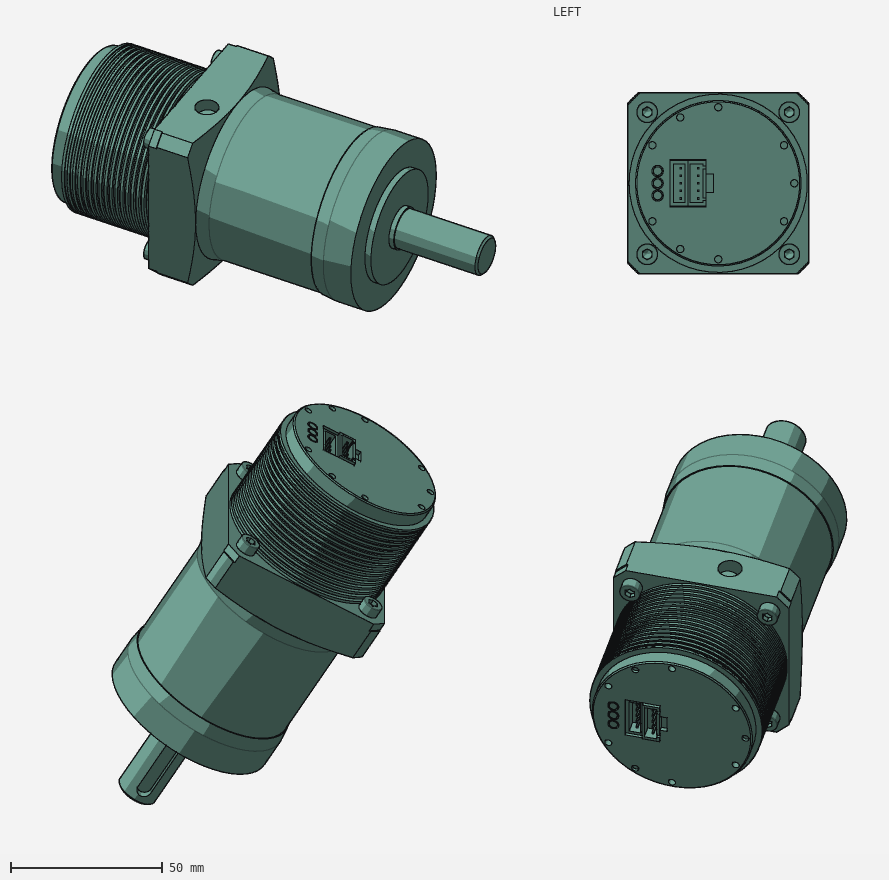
import cadquery as cq
import math


cover_face = 0.7
fins_start = 5.8
flange_start = 38.8
corner_flat_end = 41.8
flange_corner_end = 53.5
neck_start = 56.5
barrel_start = 61.0
barrel_end = 99.5
ring_start = 104.4
ring_end = 114.7
pilot_end = 117.0
collar_end = 118.8
shaft_end = 149.8

cover_diameter = 54.8
cover_edge_chamfer = 0.5
fin_diameter = 59.0
fin_count = 17
first_groove_diameter = 58.3
last_groove_diameter = 56.0
cover_hole_diameter = 2.4
cover_hole_circle_radius = 25.2
deep_hole_depth = 3.0
deep_hole_angles = (0, 60, 120, 180, 240, 300)
shallow_hole_depth = 1.0
shallow_hole_angles = (30, 150, 270)
lamp_outer_diameter = 3.7
lamp_inner_diameter = 2.8
lamp_groove_depth = 1.2
lamp_pitch = 4.0
lamp_y = 20.0

flange_side = 60.0
corner_chamfer = 4.2
flange_turned_diameter = 80.0
barrel_diameter = 58.0
ring_diameter = 59.9
ring_taper_start_diameter = 58.7
pilot_diameter = 40.1
collar_diameter = 15.0
shaft_diameter = 14.0
shaft_chamfer = 0.7
key_width = 5.0
key_length = 25.0
key_depth = 3.0
access_hole_diameter = 8.0
access_hole_x = 48.5
access_hole_y = -7.3
access_floor_radius = 26.0

screw_offset = 23.5
screw_head_diameter = 6.9
screw_head_height = 3.6
screw_head_fillet = 0.1
screw_shank_diameter = 4.0
screw_shank_length = 12.0
socket_width = 3.1
socket_depth = 1.8
socket_cone_depth = 0.9

housing_length = 15.0
right_housing_min_y = 4.0
housing_width = 6.0
housing_back = 7.5
housing_end_clearance = 0.3
cavity_length = 12.9
cavity_depth = 4.5
left_housing_recess = 0.7
left_cavity_min_y = 11.0
left_cavity_width = 3.9
right_cavity_min_y = 5.1
right_cavity_width = 4.2
pin_count = 5
pin_pitch = 2.5
pin_side = 0.6
pin_height = 3.6
left_pin_y = 12.5
right_pin_y = 6.6
wall_slot_width = 0.9
wall_slot_z = 5.2
latch_pocket_min_y = 1.6
latch_pocket_length = 6.0
latch_pocket_depth = 1.5


def cylinder(diameter, x_start, length, y=0.0, z=0.0):
    return cq.Workplane("YZ", origin=(x_start, y, z)).circle(diameter / 2).extrude(length)


def box(x_start, x_end, y_start, y_end, z_start, z_end):
    return cq.Workplane("XY").box(
        x_end - x_start, y_end - y_start, z_end - z_start, centered=False
    ).translate((x_start, y_start, z_start))


def revolve_about_x(points):
    return cq.Workplane("XZ").polyline(points).close().revolve(360, (0, 0, 0), (1, 0, 0))


def make_finned_body():
    pitch = (flange_start - fins_start) / (2 * fin_count - 1)
    body = revolve_about_x([
        (fins_start, 0),
        (fins_start, first_groove_diameter / 2),
        (flange_start, last_groove_diameter / 2),
        (flange_start, 0),
    ])
    for i in range(fin_count):
        body = body.union(cylinder(fin_diameter, fins_start + 2 * i * pitch, pitch))
    return body


def make_cover_holes(angles, depth):
    holes = cq.Workplane("YZ")
    for angle in angles:
        y = cover_hole_circle_radius * math.sin(math.radians(angle))
        z = cover_hole_circle_radius * math.cos(math.radians(angle))
        holes = holes.add(cylinder(cover_hole_diameter, cover_face, depth, y, z))
    return holes.combine()


def make_motor():
    cover = cylinder(cover_diameter, cover_face, fins_start - cover_face)
    cover = cover.faces("<X").chamfer(cover_edge_chamfer)
    motor = make_finned_body().union(cover)
    motor = motor.cut(make_cover_holes(deep_hole_angles, deep_hole_depth))
    motor = motor.cut(make_cover_holes(shallow_hole_angles, shallow_hole_depth))
    for i in (-1, 0, 1):
        groove = cylinder(lamp_outer_diameter, cover_face, lamp_groove_depth, lamp_y, i * lamp_pitch)
        lamp = cylinder(lamp_inner_diameter, cover_face, lamp_groove_depth, lamp_y, i * lamp_pitch)
        motor = motor.cut(groove.cut(lamp))
    return motor.cut(make_connector_pocket())


def make_connector_pocket():
    half_length = housing_length / 2 + housing_end_clearance
    pocket = box(
        cover_face, housing_back,
        right_housing_min_y, right_housing_min_y + 2 * housing_width,
        -half_length, half_length,
    )
    latch_pocket = box(
        cover_face, cover_face + latch_pocket_depth,
        latch_pocket_min_y, right_housing_min_y,
        -latch_pocket_length / 2, latch_pocket_length / 2,
    )
    return pocket.union(latch_pocket)


def make_housing(face_x, min_y, cavity_min_y, cavity_width, pin_y):
    half_length = housing_length / 2
    half_cavity = cavity_length / 2
    cavity_floor = face_x + cavity_depth
    housing = box(face_x, housing_back, min_y, min_y + housing_width, -half_length, half_length)
    housing = housing.cut(
        box(face_x, cavity_floor, cavity_min_y, cavity_min_y + cavity_width, -half_cavity, half_cavity)
    )
    for i in range(pin_count):
        pin_z = (i - (pin_count - 1) / 2) * pin_pitch
        housing = housing.union(box(
            cavity_floor - pin_height, cavity_floor,
            pin_y - pin_side / 2, pin_y + pin_side / 2,
            pin_z - pin_side / 2, pin_z + pin_side / 2,
        ))
    return housing


def make_connector():
    left_housing_min_y = right_housing_min_y + housing_width
    left = make_housing(
        cover_face + left_housing_recess, left_housing_min_y, left_cavity_min_y, left_cavity_width, left_pin_y
    )
    right = make_housing(0, right_housing_min_y, right_cavity_min_y, right_cavity_width, right_pin_y)
    for slot_z in (-wall_slot_z, wall_slot_z):
        right = right.cut(box(
            0, cavity_depth, right_housing_min_y, right_cavity_min_y,
            slot_z - wall_slot_width / 2, slot_z + wall_slot_width / 2,
        ))
    return left.union(right)


def screw_positions():
    return [(y, z) for y in (-screw_offset, screw_offset) for z in (-screw_offset, screw_offset)]


def make_screw(y, z):
    head_face = flange_start - screw_head_height
    head = cylinder(screw_head_diameter, head_face, screw_head_height)
    head = head.faces("<X").edges().fillet(screw_head_fillet)
    socket = (
        cq.Workplane("YZ", origin=(head_face, 0, 0))
        .polygon(6, socket_width, circumscribed=True)
        .extrude(socket_depth)
    )
    socket_floor = head_face + socket_depth
    socket_cone = revolve_about_x([
        (socket_floor, 0), (socket_floor, socket_width / 2), (socket_floor + socket_cone_depth, 0)
    ])
    shank = cylinder(screw_shank_diameter, flange_start, screw_shank_length)
    screw = head.cut(socket).cut(socket_cone).union(shank)
    return screw.translate((0, y, z))


def make_turned_profile():
    flange_radius = flange_turned_diameter / 2
    ring_radius = ring_diameter / 2
    return revolve_about_x([
        (flange_start, 0),
        (flange_start, flange_radius),
        (flange_corner_end, flange_radius),
        (neck_start, ring_radius),
        (barrel_start, barrel_diameter / 2),
        (barrel_end, barrel_diameter / 2),
        (barrel_end, ring_taper_start_diameter / 2),
        (ring_start, ring_radius),
        (ring_end, ring_radius),
        (ring_end, pilot_diameter / 2),
        (pilot_end, pilot_diameter / 2),
        (pilot_end, collar_diameter / 2),
        (collar_end, collar_diameter / 2),
        (collar_end, shaft_diameter / 2),
        (shaft_end - shaft_chamfer, shaft_diameter / 2),
        (shaft_end, shaft_diameter / 2 - shaft_chamfer),
        (shaft_end, 0),
    ])


def make_square_envelope():
    corner_section = (
        cq.Workplane("YZ", origin=(flange_start, 0, 0))
        .rect(flange_side, flange_side)
        .extrude(corner_flat_end - flange_start)
        .edges("|X")
        .chamfer(corner_chamfer)
    )
    plain_section = (
        cq.Workplane("YZ", origin=(corner_flat_end, 0, 0))
        .rect(flange_side, flange_side)
        .extrude(shaft_end - corner_flat_end)
    )
    return corner_section.union(plain_section)


def make_keyway():
    key_center_x = (collar_end + shaft_end) / 2
    return (
        cq.Workplane("XY", origin=(key_center_x, 0, -shaft_diameter / 2))
        .slot2D(key_length, key_width)
        .extrude(key_depth)
    )


def make_access_hole():
    hole = (
        cq.Workplane("XY", origin=(access_hole_x, access_hole_y, 0))
        .circle(access_hole_diameter / 2)
        .extrude(flange_side / 2)
    )
    core = cylinder(2 * access_floor_radius, flange_start, neck_start - flange_start)
    return hole.cut(core)


def make_gearbox():
    gearbox = make_turned_profile().intersect(make_square_envelope())
    gearbox = gearbox.cut(make_keyway()).cut(make_access_hole())
    for y, z in screw_positions():
        gearbox = gearbox.cut(cylinder(screw_shank_diameter, flange_start, screw_shank_length, y, z))
    return gearbox


motor = make_motor()
connector = make_connector()
gearbox = make_gearbox()
screws = [make_screw(y, z) for y, z in screw_positions()]

result = cq.Compound.makeCompound(
    [motor.val(), connector.val(), gearbox.val(), *[screw.val() for screw in screws]]
)